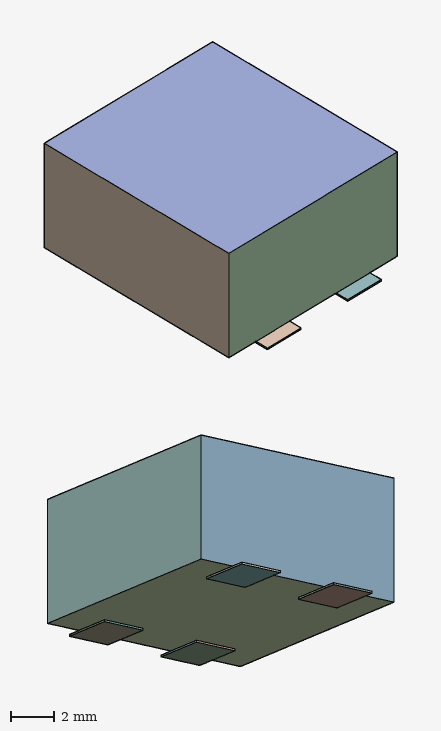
import cadquery as cq

overall_length = 13.46
overall_height = 6.1

housing_length = 11.99
housing_width = 11.0

terminal_length = 2.75
terminal_width = 2.2
terminal_thickness = 0.1
terminal_pitch = 5.24

housing_height = overall_height - terminal_thickness


def make_housing():
    """Plain block whose underside touches the tops of the terminals."""
    return (
        cq.Workplane("XY")
        .workplane(offset=terminal_thickness)
        .box(housing_length, housing_width, housing_height, centered=(True, True, False))
    )


def make_terminal(center_x, center_y):
    """Flat strip lying on the Z = 0 plane."""
    return (
        cq.Workplane("XY")
        .center(center_x, center_y)
        .box(terminal_length, terminal_width, terminal_thickness, centered=(True, True, False))
    )


housing = make_housing()

terminal_offset_x = (overall_length - terminal_length) / 2
terminal_offset_y = terminal_pitch / 2
terminals = [
    make_terminal(side_x * terminal_offset_x, side_y * terminal_offset_y)
    for side_x in (-1, 1)
    for side_y in (-1, 1)
]

result = cq.Compound.makeCompound(
    [housing.val(), *[terminal.val() for terminal in terminals]]
)